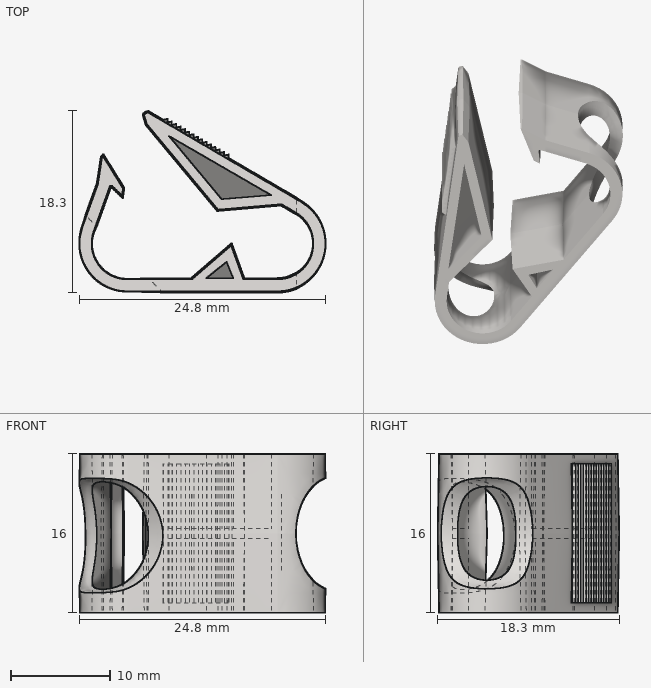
import cadquery as cq
import math

HALF_WIDTH = 8.0
DRAFT_ANGLE = 1.0

BEND_RADIUS = 4.95
WALL = 1.48
BEND_SPACING = 15.1
DOWNWARD = 270.0
INNER_RADIUS = BEND_RADIUS - WALL
LEFT_BEND = (0.0, BEND_RADIUS)
RIGHT_BEND = (BEND_SPACING, BEND_RADIUS)

ARM_SLOPE = 30.3
ARM_NORMAL = 90 - ARM_SLOPE
ARM_TIP_X = 2.1
ARM_NOSE_MID = (1.68, 18.1)
ARM_NOSE_SIDE = (1.53, 17.9)
ARM_NOSE_BASE = (1.83, 16.88)
ARM_HEEL = (9.04, 8.21)
ARM_ROOT_X = 15.45

LATCH_SLOPE = 70.2
LATCH_NORMAL = 90 + LATCH_SLOPE
LATCH_KNEE_Y = 10.98
LATCH_TIP_BASE = (-2.68, 13.66)
LATCH_TIP = (-2.42, 13.95)
BARB_TOP = (-0.3, 10.53)
BARB_BOTTOM = (-0.45, 9.49)
LATCH_NOTCH_Y = 10.64

RIB_LEFT_X = 6.42
RIB_PEAK = (10.49, 4.99)
RIB_RIGHT_X = 11.76

WEB = 1.0
ARM_RECESS = [(4.18, 15.76), (9.48, 9.41), (14.45, 9.82)]
RIB_RECESS = [(7.95, WALL), (9.97, 3.1), (10.64, WALL)]

TOOTH_COUNT = 15
TOOTH_PITCH = 0.507
TOOTH_HEIGHT = 0.3
TOOTH_LEAN = 0.18
TOOTH_ROOT = 0.3
FIRST_TOOTH = 1.75
TEETH_END_GAP = 1.0

OPENING_DEPTH_RADIUS = 3.96
OPENING_HALF_HEIGHT = 5.75
OPENING_LENGTH = 30.0
LEFT_OPENING_DIRECTION = 225.0
LEFT_OPENING_OFFSET = 4.93
LEFT_OPENING_Z = -0.22
RIGHT_OPENING_DIRECTION = 0.0
RIGHT_OPENING_OFFSET = 5.82
RIGHT_OPENING_Z = 0.0


def polar(centre, radius, angle):
    """Point at a radius and an angle in degrees from a centre."""
    turn = math.radians(angle)
    return (centre[0] + radius * math.cos(turn), centre[1] + radius * math.sin(turn))


def point_at_x(start, angle, x):
    """Point with the given x on the line through start at an angle."""
    return (x, start[1] + (x - start[0]) * math.tan(math.radians(angle)))


def point_at_y(start, angle, y):
    """Point with the given y on the line through start at an angle."""
    return (start[0] + (y - start[1]) / math.tan(math.radians(angle)), y)


ARM_OUTER_TANGENT = polar(RIGHT_BEND, BEND_RADIUS, ARM_NORMAL)
ARM_INNER_TANGENT = polar(RIGHT_BEND, INNER_RADIUS, ARM_NORMAL)
ARM_TIP = point_at_x(ARM_OUTER_TANGENT, -ARM_SLOPE, ARM_TIP_X)


def profile():
    """Closed outline of the clamp at the parting plane."""
    latch_outer_tangent = polar(LEFT_BEND, BEND_RADIUS, LATCH_NORMAL)
    latch_inner_tangent = polar(LEFT_BEND, INNER_RADIUS, LATCH_NORMAL)
    left_mid_angle = (LATCH_NORMAL + DOWNWARD) / 2
    right_mid_angle = (ARM_NORMAL + DOWNWARD - 360) / 2
    return (
        cq.Workplane("XY")
        .moveTo(0, 0)
        .lineTo(BEND_SPACING, 0)
        .threePointArc(polar(RIGHT_BEND, BEND_RADIUS, right_mid_angle), ARM_OUTER_TANGENT)
        .lineTo(*ARM_TIP)
        .threePointArc(ARM_NOSE_MID, ARM_NOSE_SIDE)
        .lineTo(*ARM_NOSE_BASE)
        .lineTo(*ARM_HEEL)
        .lineTo(*point_at_x(ARM_INNER_TANGENT, -ARM_SLOPE, ARM_ROOT_X))
        .lineTo(*ARM_INNER_TANGENT)
        .threePointArc(polar(RIGHT_BEND, INNER_RADIUS, right_mid_angle), (BEND_SPACING, WALL))
        .lineTo(RIB_RIGHT_X, WALL)
        .lineTo(*RIB_PEAK)
        .lineTo(RIB_LEFT_X, WALL)
        .lineTo(0, WALL)
        .threePointArc(polar(LEFT_BEND, INNER_RADIUS, left_mid_angle), latch_inner_tangent)
        .lineTo(*point_at_y(latch_inner_tangent, LATCH_SLOPE, LATCH_NOTCH_Y))
        .lineTo(*BARB_BOTTOM)
        .lineTo(*BARB_TOP)
        .lineTo(*LATCH_TIP)
        .lineTo(*LATCH_TIP_BASE)
        .lineTo(*point_at_y(latch_outer_tangent, LATCH_SLOPE, LATCH_KNEE_Y))
        .lineTo(*latch_outer_tangent)
        .threePointArc(polar(LEFT_BEND, BEND_RADIUS, left_mid_angle), (0, 0))
        .close()
    )


def drafted_body():
    """Both halves of the strip, each narrowing away from the parting plane."""
    upper = profile().extrude(HALF_WIDTH, taper=DRAFT_ANGLE)
    return upper.union(upper.mirror("XY"))


def recess(corners):
    """Cutter for one triangular recess in each end."""
    upper = (
        cq.Workplane("XY")
        .workplane(offset=WEB / 2)
        .polyline(corners)
        .close()
        .extrude(HALF_WIDTH)
    )
    return upper.union(upper.mirror("XY"))


def teeth():
    """Row of saw teeth standing on the outer face of the upper arm."""
    row_end = FIRST_TOOTH + TOOTH_COUNT * TOOTH_PITCH
    half_length = HALF_WIDTH - TEETH_END_GAP
    outline = cq.Workplane("XY").workplane(offset=-half_length)
    outline = outline.moveTo(FIRST_TOOTH, -TOOTH_ROOT).lineTo(FIRST_TOOTH, 0)
    for index in range(TOOTH_COUNT):
        end = FIRST_TOOTH + (index + 1) * TOOTH_PITCH
        outline = outline.lineTo(end - TOOTH_LEAN, TOOTH_HEIGHT).lineTo(end, 0)
    row = outline.lineTo(row_end, -TOOTH_ROOT).close().extrude(2 * half_length)
    return row.rotate((0, 0, 0), (0, 0, 1), -ARM_SLOPE).translate((*ARM_TIP, 0))


def opening(bend, direction, offset, height):
    """Elliptical cutter lying across a bend, centred outwards along a direction."""
    cutter = (
        cq.Workplane("XZ")
        .ellipse(OPENING_DEPTH_RADIUS, OPENING_HALF_HEIGHT)
        .extrude(OPENING_LENGTH / 2, both=True)
    )
    centre = polar(bend, offset, direction)
    return cutter.rotate((0, 0, 0), (0, 0, 1), direction).translate((*centre, height))


result = (
    drafted_body()
    .union(teeth())
    .cut(recess(ARM_RECESS))
    .cut(recess(RIB_RECESS))
    .cut(opening(LEFT_BEND, LEFT_OPENING_DIRECTION, LEFT_OPENING_OFFSET, LEFT_OPENING_Z))
    .cut(opening(RIGHT_BEND, RIGHT_OPENING_DIRECTION, RIGHT_OPENING_OFFSET, RIGHT_OPENING_Z))
)